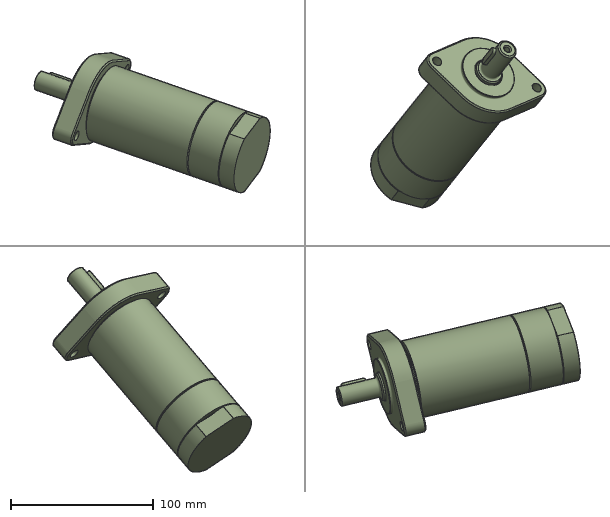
import cadquery as cq
import math

SHAFT_FILLET_START = 27.9
COLLAR_START = 29.5
COLLAR_CONE_END = 30.5
PILOT_START = 31.6
FLANGE_START = 34.5
FLANGE_END = 50.4
BODY_START = 52.5
GROOVE_START = 131.9
GROOVE_END = 132.9
SLIT_START = 156.6
SLIT_END = 157.3
TOTAL_LENGTH = 169.1

SHAFT_DIA = 14.0
SHAFT_TIP_DIA = 11.5
SHAFT_TIP_CHAMFER_LENGTH = 0.7
COLLAR_FACE_DIA = 18.1
COLLAR_DIA = 20.0
SEAL_BORE_DIA = 21.1
SEAL_BORE_DEPTH = 1.0
PILOT_DIA = 40.0
PILOT_RIM_TAPER = 0.2
PILOT_RIM_LENGTH = 0.5
PILOT_ROOT_FILLET = 0.7
JOURNAL_DIA = 48.2
BODY_DIA = 56.0

FLANGE_HEIGHT = 62.0
EAR_OFFSET = 38.5
EAR_RADIUS = 7.5
EAR_HOLE_DIA = 7.0
FLANGE_CHAMFER = 1.0

CAP_FLAT_SPAN = 50.5

KEY_START = 4.4
KEY_LENGTH = 18.3
KEY_WIDTH = 5.0
KEY_TOP = 9.1

CENTRE_HOLE_DIA = 4.0
CENTRE_HOLE_DEPTH = 12.5
COUNTERSINK_DIA = 6.0
DRILL_POINT_ANGLE = 118.0


def revolve_about_x(profile):
    """Turn a closed profile, drawn as (x, radius), about the X axis."""
    return profile.close().revolve(360, (0, 0, 0), (1, 0, 0))


def turned_core():
    """Shaft, collar, pilot, journal and body as one turned piece."""
    fillet = COLLAR_START - SHAFT_FILLET_START
    shaft_r = SHAFT_DIA / 2
    collar_r = COLLAR_DIA / 2
    bore_r = SEAL_BORE_DIA / 2
    pilot_r = PILOT_DIA / 2
    journal_r = JOURNAL_DIA / 2
    body_r = BODY_DIA / 2
    bore_floor = PILOT_START + SEAL_BORE_DEPTH
    profile = (
        cq.Workplane("XY")
        .moveTo(0, 0)
        .lineTo(0, SHAFT_TIP_DIA / 2)
        .lineTo(SHAFT_TIP_CHAMFER_LENGTH, shaft_r)
        .lineTo(SHAFT_FILLET_START, shaft_r)
        .radiusArc((COLLAR_START, shaft_r + fillet), -fillet)
        .lineTo(COLLAR_START, COLLAR_FACE_DIA / 2)
        .lineTo(COLLAR_CONE_END, collar_r)
        .lineTo(bore_floor, collar_r)
        .lineTo(bore_floor, bore_r)
        .lineTo(PILOT_START, bore_r)
        .lineTo(PILOT_START, pilot_r - PILOT_RIM_TAPER)
        .lineTo(PILOT_START + PILOT_RIM_LENGTH, pilot_r)
        .lineTo(FLANGE_START - PILOT_ROOT_FILLET, pilot_r)
        .radiusArc((FLANGE_START, pilot_r + PILOT_ROOT_FILLET), -PILOT_ROOT_FILLET)
        .lineTo(FLANGE_START, journal_r)
        .lineTo(BODY_START, journal_r)
        .lineTo(BODY_START, body_r)
        .lineTo(GROOVE_START, body_r)
        .lineTo(GROOVE_START, journal_r)
        .lineTo(GROOVE_END, journal_r)
        .lineTo(GROOVE_END, body_r)
        .lineTo(SLIT_START, body_r)
        .lineTo(SLIT_START, journal_r)
        .lineTo(SLIT_END, journal_r)
        .lineTo(SLIT_END, body_r)
        .lineTo(TOTAL_LENGTH, body_r)
        .lineTo(TOTAL_LENGTH, 0)
    )
    return revolve_about_x(profile)


def flange():
    """Two-eared mounting plate with chamfered rims and a hole in each ear."""
    centre_r = FLANGE_HEIGHT / 2
    lean = math.asin((centre_r - EAR_RADIUS) / EAR_OFFSET)
    arc_y = centre_r * math.sin(lean)
    arc_z = centre_r * math.cos(lean)
    ear_y = EAR_OFFSET + EAR_RADIUS * math.sin(lean)
    ear_z = EAR_RADIUS * math.cos(lean)
    ear_tip = EAR_OFFSET + EAR_RADIUS
    plate = (
        cq.Workplane("YZ", origin=(FLANGE_START, 0, 0))
        .moveTo(-arc_y, arc_z)
        .threePointArc((0, centre_r), (arc_y, arc_z))
        .lineTo(ear_y, ear_z)
        .threePointArc((ear_tip, 0), (ear_y, -ear_z))
        .lineTo(arc_y, -arc_z)
        .threePointArc((0, -centre_r), (-arc_y, -arc_z))
        .lineTo(-ear_y, -ear_z)
        .threePointArc((-ear_tip, 0), (-ear_y, ear_z))
        .close()
        .extrude(FLANGE_END - FLANGE_START)
        .faces("<X or >X")
        .chamfer(FLANGE_CHAMFER)
    )
    holes = (
        cq.Workplane("YZ", origin=(FLANGE_START, 0, 0))
        .pushPoints([(-EAR_OFFSET, 0), (EAR_OFFSET, 0)])
        .circle(EAR_HOLE_DIA / 2)
        .extrude(FLANGE_END - FLANGE_START)
    )
    return plate.cut(holes)


def key():
    """Round-ended key rising from the shaft axis to its top face."""
    return (
        cq.Workplane("XZ", origin=(KEY_START + KEY_LENGTH / 2, 0, 0))
        .slot2D(KEY_LENGTH, KEY_WIDTH)
        .extrude(-KEY_TOP)
    )


def centre_hole():
    """Blind hole with a 90 degree countersink and a drill point."""
    hole_r = CENTRE_HOLE_DIA / 2
    sink_r = COUNTERSINK_DIA / 2
    point_length = hole_r / math.tan(math.radians(DRILL_POINT_ANGLE / 2))
    profile = (
        cq.Workplane("XY")
        .moveTo(0, 0)
        .lineTo(0, sink_r)
        .lineTo(sink_r - hole_r, hole_r)
        .lineTo(CENTRE_HOLE_DEPTH, hole_r)
        .lineTo(CENTRE_HOLE_DEPTH + point_length, 0)
    )
    return revolve_about_x(profile)


def cap_flats():
    """Slabs that trim the rear cap to its flat-to-flat span."""
    flat_z = CAP_FLAT_SPAN / 2
    cap_length = TOTAL_LENGTH - SLIT_END
    slab = cq.Workplane("XY", origin=(SLIT_END, 0, flat_z)).box(
        cap_length, BODY_DIA, BODY_DIA, centered=(False, True, False)
    )
    return slab.union(slab.mirror("XY"))


result = turned_core().union(flange()).union(key()).cut(centre_hole()).cut(cap_flats())